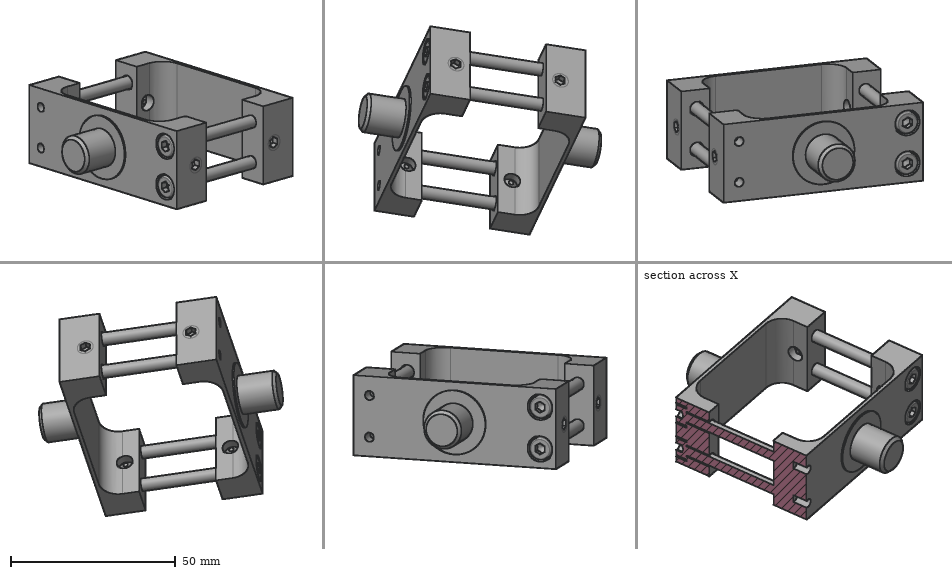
import cadquery as cq
import math

frame_width = 65.0
frame_height = 25.0
half_gap = 12.0
block_depth = 12.5
block_width = 9.25
web_thickness = 1.25
corner_radius = 6.0
outer_face_y = half_gap + block_depth

collar_diameter = 20.0
collar_thickness = 0.5
pin_diameter = 12.0
pin_length = 12.0
pin_chamfer = 1.0

bolt_diameter = 4.0
bolt_length = 40.0
bolt_x = 27.4
bolt_z = 6.5
bolt_clearance_diameter = 4.5
bolt_tip_hole_diameter = 2.85
head_diameter = 7.0
head_height = 4.0
head_edge_radius = 0.5
counterbore_diameter = 8.0
seat_y = -outer_face_y + head_height
bolt_tip_y = seat_y + bolt_length

set_screw_diameter = 4.96
set_screw_length = 8.0
set_screw_point_chamfer = 1.75
set_screw_y = 16.5

socket_flats = 3.0
socket_depth = 2.0
socket_corners = socket_flats / math.cos(math.radians(30))
socket_cone_height = socket_corners / 2 * math.tan(math.radians(30))


def cylinder_along(start, direction, diameter, length):
    """Cylinder growing from its start point along a direction."""
    return cq.Workplane(cq.Solid.makeCylinder(diameter / 2, length, cq.Vector(*start), cq.Vector(*direction)))


def hex_socket(start, direction):
    """Cutter for a hexagon socket sunk along a direction, one corner pointing up."""
    plane = cq.Plane(origin=start, xDir=(0, 0, 1), normal=direction)
    total_depth = socket_depth + socket_cone_height
    prism = cq.Workplane(plane).polygon(6, socket_corners).extrude(total_depth)
    drill = cq.Workplane(plane).circle(socket_corners / 2).extrude(socket_depth)
    tip = cq.Solid.makeCone(socket_corners / 2, 0, socket_cone_height)
    tip = tip.moved(cq.Location(plane)).moved(cq.Location(cq.Vector(*direction) * socket_depth))
    return prism.intersect(drill.union(cq.Workplane(tip)))


def make_yoke():
    """U-shaped half on the -Y side, open towards +Y."""
    center_y = -half_gap - block_depth / 2
    body = cq.Workplane("XY").box(frame_width, block_depth, frame_height).translate((0, center_y, 0))
    opening_depth = block_depth - web_thickness
    opening = (
        cq.Workplane("XY")
        .box(frame_width - 2 * block_width, opening_depth, frame_height)
        .edges("|Z and <Y")
        .fillet(corner_radius)
        .translate((0, -half_gap - opening_depth / 2, 0))
    )
    return body.cut(opening)


def make_trunnion():
    """Collar and chamfered pin standing out of the -Y face."""
    outward = (0, -1, 0)
    collar = cylinder_along((0, -outer_face_y, 0), outward, collar_diameter, collar_thickness)
    pin_start_y = -outer_face_y - collar_thickness
    pin = cylinder_along((0, pin_start_y, 0), outward, pin_diameter, pin_length)
    return collar.union(pin.faces("<Y").chamfer(pin_chamfer))


def cut_bolt_holes(yoke):
    """Counterbored holes at +X for the heads and tip holes at -X for the opposite bolts."""
    inward = (0, 1, 0)
    for z in (-bolt_z, bolt_z):
        head_start = (bolt_x, -outer_face_y, z)
        yoke = yoke.cut(cylinder_along(head_start, inward, counterbore_diameter, head_height))
        yoke = yoke.cut(cylinder_along(head_start, inward, bolt_clearance_diameter, block_depth))
        tip_start = (-bolt_x, -outer_face_y, z)
        yoke = yoke.cut(cylinder_along(tip_start, inward, bolt_tip_hole_diameter, outer_face_y - bolt_tip_y))
    return yoke


def make_bolt(z):
    """Socket head bolt running along +Y with its head flush in the -Y face."""
    inward = (0, 1, 0)
    head_start = (bolt_x, -outer_face_y, z)
    head = cylinder_along(head_start, inward, head_diameter, head_height)
    head = head.faces("<Y").edges().fillet(head_edge_radius)
    shank = cylinder_along((bolt_x, seat_y, z), inward, bolt_diameter, bolt_length)
    return head.union(shank).cut(hex_socket(head_start, inward))


def add_set_screw(yoke, side):
    """Set screw flush with the end face; the hole behind it opens into the yoke.

    The screw is joined without merging faces, so its rim stays on the end face.
    """
    start = (side * frame_width / 2, -set_screw_y, 0)
    inward = (-side, 0, 0)
    hole = cylinder_along(start, inward, set_screw_diameter, block_width + corner_radius)
    screw = cylinder_along(start, inward, set_screw_diameter, set_screw_length)
    inner_end = screw.faces("<X" if side > 0 else ">X")
    screw = inner_end.chamfer(set_screw_point_chamfer).cut(hex_socket(start, inward))
    return yoke.cut(hole, clean=False).union(screw, clean=False)


def make_half():
    """One yoke with its trunnion, bolts and set screws."""
    half = cut_bolt_holes(make_yoke().union(make_trunnion()))
    for side in (-1, 1):
        half = add_set_screw(half, side)
    for z in (-bolt_z, bolt_z):
        half = half.union(make_bolt(z), clean=False)
    return half


front_half = make_half()
back_half = front_half.rotate((0, 0, 0), (0, 0, 1), 180)
result = front_half.union(back_half, clean=False)